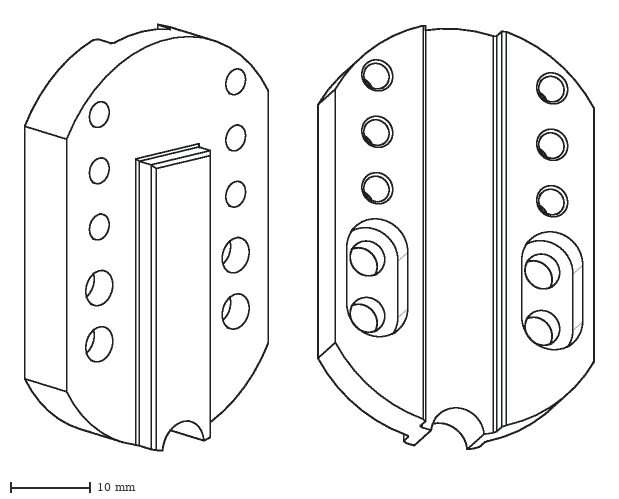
import cadquery as cq
import math

plate_thickness = 8.0
plate_width = 34.0
full_height = 53.0
end_radius = 19.5

guide_width = 10.0
channel_depth = 3.2
rail_height = 3.0
rail_top = 11.5
edge_chamfer = 0.5
root_chamfer = 0.3

notch_radius = 3.5

column_offset = 11.5
row_pitch = 7.4
first_row = 4.0
small_hole_rows = 3
small_hole_diameter = 3.3
small_hole_chamfer = 0.35
screw_hole_diameter = 4.55
slot_width = 8.0
slot_depth = 4.5

half_width = plate_width / 2
half_height = full_height / 2
half_guide = guide_width / 2
corner_height = half_height - end_radius + math.sqrt(end_radius**2 - half_width**2)
back_face = plate_thickness + rail_height


def outline(depth):
    """Plate outline extruded from the front face along +X."""
    return (
        cq.Workplane("YZ")
        .moveTo(half_width, -corner_height)
        .lineTo(half_width, corner_height)
        .threePointArc((0, half_height), (-half_width, corner_height))
        .lineTo(-half_width, -corner_height)
        .threePointArc((0, -half_height), (half_width, -corner_height))
        .close()
        .extrude(depth)
    )


def rail_section(growth):
    """Rail rectangle on the back face, grown on each side and running down past the lower crown."""
    top = rail_top + growth
    bottom = -full_height
    return (
        cq.Workplane("YZ", origin=(plate_thickness, 0, (top + bottom) / 2))
        .rect(guide_width + 2 * growth, top - bottom)
    )


def rail():
    """Locating rail with a chamfered crest and a flared root, trimmed to the lower arc."""
    body = rail_section(0).extrude(rail_height).faces(">X").chamfer(edge_chamfer)
    root = rail_section(root_chamfer).extrude(root_chamfer, taper=45)
    return body.union(root).intersect(outline(back_face))


def channel():
    """Full-height channel with chamfered mouth and chamfered floor corners."""
    half_profile = [
        (0, half_guide + edge_chamfer),
        (edge_chamfer, half_guide),
        (channel_depth - root_chamfer, half_guide),
        (channel_depth, half_guide - root_chamfer),
    ]
    mirrored = [(x, -y) for x, y in reversed(half_profile)]
    return (
        cq.Workplane("XY")
        .polyline(half_profile + mirrored)
        .close()
        .extrude(half_height, both=True)
    )


def round_cut(diameter, points, depth):
    """Cylinders along +X from the front face at the given (Y, Z) points."""
    return cq.Workplane("YZ").pushPoints(points).circle(diameter / 2).extrude(depth)


def small_hole(y, z):
    """Through hole with a chamfered mouth in the front face."""
    hole = round_cut(small_hole_diameter, [(y, z)], plate_thickness)
    mouth = cq.Solid.makeCone(
        small_hole_diameter / 2 + small_hole_chamfer,
        small_hole_diameter / 2,
        small_hole_chamfer,
        pnt=cq.Vector(0, y, z),
        dir=cq.Vector(1, 0, 0),
    )
    return hole.union(cq.Workplane(mouth))


def screw_slot(y):
    """Long counterbore with two through holes in its floor."""
    rows = [-first_row, -first_row - row_pitch]
    slot = (
        cq.Workplane("YZ")
        .center(y, sum(rows) / len(rows))
        .slot2D(row_pitch + slot_width, slot_width, 90)
        .extrude(slot_depth)
    )
    holes = round_cut(screw_hole_diameter, [(y, z) for z in rows], plate_thickness)
    return slot.union(holes)


result = outline(plate_thickness).union(rail()).cut(channel())
result = result.cut(round_cut(2 * notch_radius, [(0, -half_height)], back_face))
for column in (-column_offset, column_offset):
    for row in range(small_hole_rows):
        result = result.cut(small_hole(column, first_row + row * row_pitch))
    result = result.cut(screw_slot(column))